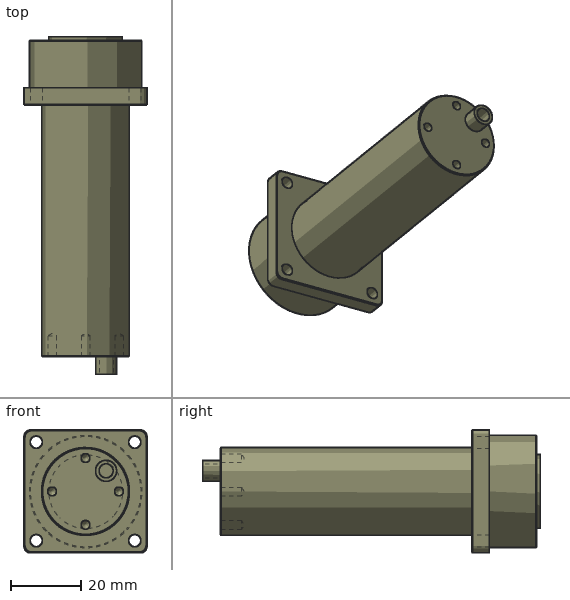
import cadquery as cq
import math

cable_boss_length = 5.0
tube_length = 71.5
flange_thickness = 5.0
head_length = 13.5
pilot_length = 1.0

tube_diameter = 25.0
head_diameter = 32.0
pilot_diameter = 21.0
edge_chamfer = 0.3

flange_side = 35.0
flange_corner_radius = 2.0
flange_hole_diameter = 3.4
flange_hole_pitch = 28.0

end_hole_diameter = 2.5
end_hole_circle_radius = 9.5
end_hole_depth = 6.0
end_hole_count = 4
drill_tip_angle = 118.0

cable_boss_diameter = 6.0
cable_bore_diameter = 4.0
cable_boss_offset = 5.85

flange_start = tube_length
head_start = flange_start + flange_thickness
pilot_start = head_start + head_length


def section_plane(y):
    """Sketch plane at station y: local x is X, local y is Z, normal points to -Y."""
    return cq.Workplane("XZ", origin=(0, y, 0))


def cylinder(diameter, start, length):
    """Cylinder on the Y axis running from start toward +Y."""
    return section_plane(start).circle(diameter / 2).extrude(-length)


def make_flange():
    flange = section_plane(flange_start).rect(flange_side, flange_side).extrude(-flange_thickness)
    flange = flange.edges("|Y").fillet(flange_corner_radius)
    flange = flange.faces("<Y").edges().chamfer(edge_chamfer)
    holes = (
        section_plane(flange_start)
        .rect(flange_hole_pitch, flange_hole_pitch, forConstruction=True)
        .vertices()
        .circle(flange_hole_diameter / 2)
        .extrude(-flange_thickness)
    )
    return flange.cut(holes)


def make_body():
    tube = cylinder(tube_diameter, 0, tube_length).faces("<Y").edges().chamfer(edge_chamfer)
    head = cylinder(head_diameter, head_start, head_length).faces(">Y").edges().chamfer(edge_chamfer)
    pilot = cylinder(pilot_diameter, pilot_start, pilot_length)
    return tube.union(make_flange()).union(head).union(pilot)


def make_drill():
    """Drill shape on the Y axis: a cylinder from the tube end face with a conical tip."""
    radius = end_hole_diameter / 2
    tip_length = radius / math.tan(math.radians(drill_tip_angle / 2))
    return (
        cq.Workplane("XY")
        .polyline([(0, 0), (radius, 0), (radius, end_hole_depth), (0, end_hole_depth + tip_length)])
        .close()
        .revolve(360, (0, 0, 0), (0, 1, 0))
    )


def drill_end_holes(body):
    """Blind holes evenly spaced on a circle in the tube end face."""
    for index in range(end_hole_count):
        drill = make_drill().translate((end_hole_circle_radius, 0, 0))
        angle = index * 360 / end_hole_count
        body = body.cut(drill.rotate((0, 0, 0), (0, 1, 0), angle))
    return body


def add_cable_boss(body):
    """Boss on the tube end face with a flat-bottomed bore as deep as the boss."""
    boss = (
        section_plane(0)
        .center(cable_boss_offset, cable_boss_offset)
        .circle(cable_boss_diameter / 2)
        .circle(cable_bore_diameter / 2)
        .extrude(cable_boss_length)
    )
    return body.union(boss)


result = add_cable_boss(drill_end_holes(make_body()))